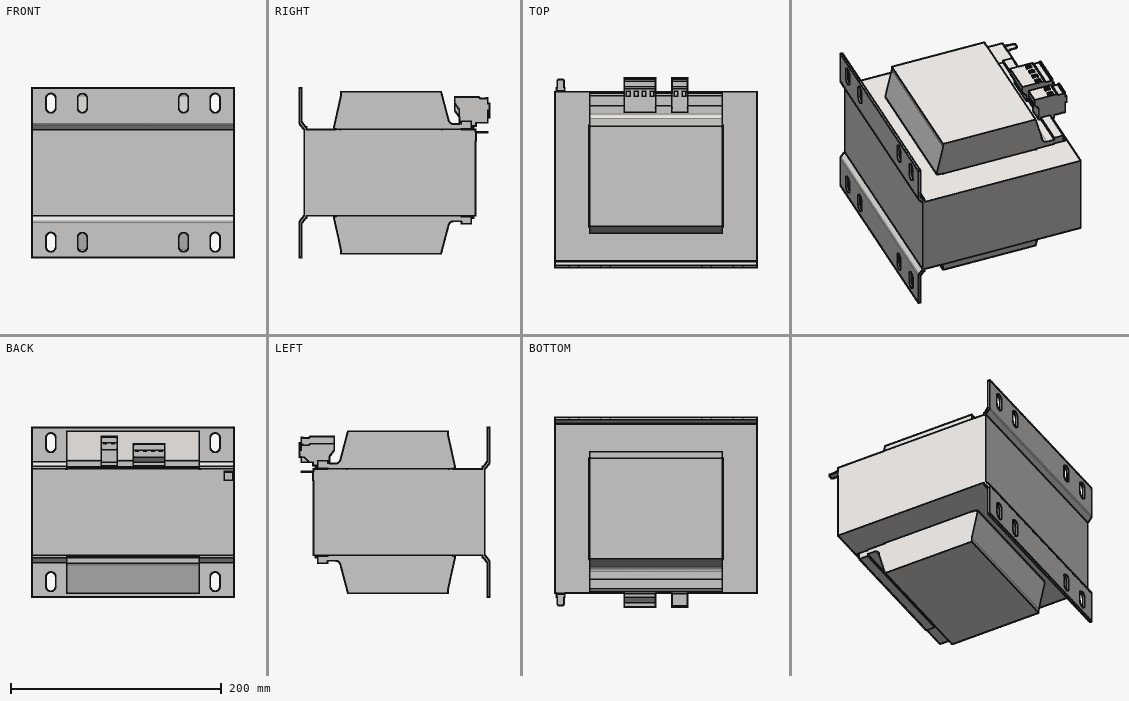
import cadquery as cq


PLATE_LENGTH = 192.0
PLATE_HEIGHT = 161.0
SHEET = 2.3
PLATE_STEP = 4.5
BEND_START = 40.7
BEND_END = 46.0
FLANGE_BEND = 48.0
WEB_TOP = 43.4
BEND_FLAT = 1.0
BEND_RADIUS = 2.5
SLOT_LENGTH = 18.0
SLOT_WIDTH = 9.0
SLOT_INSET = 14.5
SLOT_X = (48.0, 78.0)

CORE_FRONT = PLATE_STEP + SHEET
CORE_BACK = 167.0
CORE_HALF = 41.0
WINDOW_FRONT = 38.8
WINDOW_BACK = 135.0
WINDOW_GAP = 0.5

COIL_WIDTH = 126.1
COIL_HALF = 77.0
COIL_FRONT = 39.2
COIL_BACK = WINDOW_BACK - WINDOW_GAP
COIL_EDGE_Z = 72.8
COIL_FOOT_Y = 32.6
FOOT_CLEARANCE = 0.5
FOOT_OVERHANG = 2.0
SHELF_Z = 46.3
SHELF_CORNER_Y = 142.5
SHELF_RADIUS = 4.6
RIDGE_FRONT = 153.6
RIDGE_BACK = 163.0
RIDGE_Z = 48.5
LIP_BACK = 165.3
LIP_Z = 43.2

POLE_WIDTH = 15.0
LOW_LEFT = -30.3
LOW_POLES = 2
TALL_LEFT = 15.0
TALL_POLES = 1
LOW_TOP = 65.0
TALL_TOP = 72.0
TERMINAL_BACK = 180.3
BODY_FRONT = 147.3
BODY_BACK = 170.0
BODY_DEPTH = 6.3
SLOPE_DEPTH = 12.3
LEDGE_FRONT = 171.6
LEDGE_DROP = 1.5
RIM_FRONT = 177.0
RIM_BACK = 178.8
RIM_DROP = 0.8
NOSE_TOP = 6.1
NOSE_BOTTOM = 12.9
CHIN_BACK = 175.9
CHIN_FRONT = 170.7
BASE_Z = 47.2
STEM_FRONT = 151.7
STEM_BACK = 167.6
STEM_BOTTOM = 44.2
PORT_WIDTH = 3.6
PORT_LENGTH = 4.8
PORT_DEPTH = 1.5
PORT_FRONT = 162.5
PORT_OFFSETS = (4.0, 11.5)
NOTCH_WIDTH = 2.5
NOTCH_LENGTH = 1.0
NOTCH_DEPTH = 1.0

TAB_X = -90.5
TAB_WIDTH = 8.0
TAB_TIP_WIDTH = 6.5
TAB_SHOULDER_Y = 170.9
TAB_END = 178.8
TAB_TIP_CHAMFER = 1.2
TAB_SHEET = 0.8
TAB_TOP = 38.8
TAB_LEG = 8.6


def extrude_along_x(points, left, width):
    """Solid with the (y, z) outline `points`, running from x = left over `width`."""
    return cq.Workplane("YZ", origin=(left, 0, 0)).polyline(points).close().extrude(width)


def box(x, y, z):
    """Box spanning the given (low, high) pairs."""
    size = (x[1] - x[0], y[1] - y[0], z[1] - z[0])
    return cq.Workplane("XY").box(*size, centered=False).translate((x[0], y[0], z[0]))


def mirrored(half):
    """The upper half together with its mirror image below z = 0."""
    return half.union(half.mirror("XY"))


def make_plate():
    """Upper half of the sheet with its joggled flange and slots, then mirrored."""
    top = PLATE_HEIGHT / 2
    outline = [
        (PLATE_STEP, 0), (PLATE_STEP, BEND_START), (0, BEND_END), (0, top), (SHEET, top),
        (SHEET, FLANGE_BEND), (CORE_FRONT - BEND_FLAT, WEB_TOP),
        (CORE_FRONT, WEB_TOP), (CORE_FRONT, 0),
    ]
    half = extrude_along_x(outline, -PLATE_LENGTH / 2, PLATE_LENGTH)
    half = half.edges(cq.selectors.NearestToPointSelector((0, 0, BEND_END))).fillet(BEND_RADIUS)
    slots = (
        cq.Workplane("XZ")
        .pushPoints([(side * x, top - SLOT_INSET) for x in SLOT_X for side in (-1, 1)])
        .slot2D(SLOT_LENGTH, SLOT_WIDTH, 90)
        .extrude(-SHEET)
    )
    return mirrored(half.cut(slots))


def make_core():
    """Laminated block with a thin clearance slit along each side of the coil."""
    half_length = PLATE_LENGTH / 2
    core = box((-half_length, half_length), (CORE_FRONT, CORE_BACK), (-CORE_HALF, CORE_HALF))
    slits = (
        cq.Workplane("XY", origin=(0, (WINDOW_FRONT + WINDOW_BACK) / 2, -CORE_HALF))
        .pushPoints([(side * (COIL_WIDTH + WINDOW_GAP) / 2, 0) for side in (-1, 1)])
        .rect(WINDOW_GAP, WINDOW_BACK - WINDOW_FRONT)
        .extrude(2 * CORE_HALF)
    )
    return core.cut(slits)


def make_coil():
    """Tapered coil cover with a shelf, a ridge and a lip towards the terminals, on both faces."""
    underside = CORE_HALF + FOOT_CLEARANCE
    outline = [
        (COIL_FOOT_Y + FOOT_OVERHANG, CORE_HALF), (COIL_FOOT_Y + FOOT_OVERHANG, underside),
        (COIL_FOOT_Y, underside), (COIL_FOOT_Y, LIP_Z),
        (COIL_FRONT, COIL_EDGE_Z), (COIL_FRONT, COIL_HALF), (COIL_BACK, COIL_HALF),
        (SHELF_CORNER_Y, SHELF_Z), (RIDGE_FRONT, SHELF_Z),
        (RIDGE_FRONT, RIDGE_Z), (RIDGE_BACK, RIDGE_Z), (RIDGE_BACK, LIP_Z), (LIP_BACK, LIP_Z),
        (LIP_BACK, underside), (RIDGE_FRONT, underside), (RIDGE_FRONT, CORE_HALF),
    ]
    cover = extrude_along_x(outline, -COIL_WIDTH / 2, COIL_WIDTH)
    corner = cq.selectors.NearestToPointSelector((0, SHELF_CORNER_Y, SHELF_Z))
    return mirrored(cover.edges(corner).fillet(SHELF_RADIUS))


def make_terminal(left, poles, top, underside):
    """Row of two-way blocks; `underside` holds the outline points between stem and nose."""
    outline = [
        (BODY_FRONT, top), (BODY_FRONT, top - BODY_DEPTH),
        (STEM_FRONT, top - SLOPE_DEPTH), (STEM_FRONT, STEM_BOTTOM), (STEM_BACK, STEM_BOTTOM),
        *underside,
        (RIM_BACK, top - NOSE_BOTTOM), (TERMINAL_BACK, top - NOSE_BOTTOM),
        (TERMINAL_BACK, top - NOSE_TOP), (RIM_BACK, top - NOSE_TOP),
        (RIM_BACK, top - RIM_DROP), (RIM_FRONT, top - RIM_DROP), (RIM_FRONT, top - LEDGE_DROP),
        (LEDGE_FRONT, top - LEDGE_DROP), (BODY_BACK, top),
    ]
    terminal = extrude_along_x(outline, left, poles * POLE_WIDTH)
    port_y = (PORT_FRONT, PORT_FRONT + PORT_LENGTH)
    port_z = (top - PORT_DEPTH, top)
    notch_y = (RIM_BACK, RIM_BACK + NOTCH_LENGTH)
    notch_z = (top - NOSE_TOP - NOTCH_DEPTH, top - NOSE_TOP)
    for pole in range(poles):
        for offset in PORT_OFFSETS:
            x = left + pole * POLE_WIDTH + offset
            port_x = (x - PORT_WIDTH / 2, x + PORT_WIDTH / 2)
            notch_x = (x - NOTCH_WIDTH / 2, x + NOTCH_WIDTH / 2)
            terminal = terminal.cut(box(port_x, port_y, port_z))
            terminal = terminal.cut(box(notch_x, notch_y, notch_z))
    return terminal


def make_low_terminals():
    """Block pair whose underside slopes back to the stem."""
    underside = [
        (STEM_BACK, BASE_Z), (CHIN_FRONT, BASE_Z), (CHIN_BACK, LOW_TOP - NOSE_BOTTOM),
    ]
    return make_terminal(LOW_LEFT, LOW_POLES, LOW_TOP, underside)


def make_tall_terminal():
    """Single raised block standing on a straight base."""
    underside = [(STEM_BACK, BASE_Z), (RIM_BACK, BASE_Z)]
    return make_terminal(TALL_LEFT, TALL_POLES, TALL_TOP, underside)


def make_earth_tab():
    """Angle on the back of the core: a tongue pointing out and a leg on the core."""
    half = TAB_WIDTH / 2
    tip = TAB_TIP_WIDTH / 2
    right_side = [
        (half, CORE_BACK), (half, TAB_SHOULDER_Y), (tip, TAB_SHOULDER_Y),
        (tip, TAB_END - TAB_TIP_CHAMFER), (tip - TAB_TIP_CHAMFER, TAB_END),
    ]
    left_side = [(-x, y) for x, y in reversed(right_side)]
    tongue = (
        cq.Workplane("XY", origin=(TAB_X, 0, TAB_TOP - TAB_SHEET))
        .polyline(right_side + left_side)
        .close()
        .extrude(TAB_SHEET)
    )
    leg_y = (CORE_BACK, CORE_BACK + TAB_SHEET)
    leg = box((TAB_X - half, TAB_X + half), leg_y, (TAB_TOP - TAB_LEG, TAB_TOP))
    return tongue.union(leg)


result = (
    make_plate()
    .union(make_core())
    .union(make_coil())
    .union(make_low_terminals())
    .union(make_tall_terminal())
    .union(make_earth_tab())
)